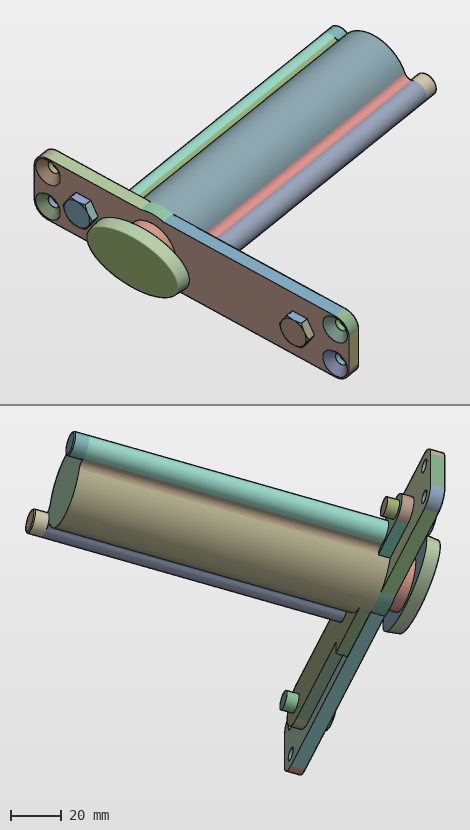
import cadquery as cq
import math


plate_length = 160.0
plate_height = 32.0
plate_thickness = 6.0
plate_corner_radius = 7.0
screw_hole_diameter = 5.5
countersink_diameter = 12.5
countersink_angle = 90.0

body_x = -20.0
body_end_y = 136.7
barrel_radius = 17.0
lug_offset = 22.0
lug_radius = 5.0
lug_fillet_radius = 3.0

pin_diameter = 10.0
pin_projection = 6.3
pin_chamfer = 0.5

backing_thickness = 5.0
backing_rear_y = plate_thickness + backing_thickness
narrow_end_x = -55.25
narrow_end_radius = 6.5
wide_end_x = 54.0
wide_end_radius = 10.0
tab_right_x = 10.7
tab_bottom_z = -16.3

bolt_offset = 55.0
bolt_diameter = 8.0
bolt_projection = 5.0
head_sides = 6
head_across_flats = 13.0
head_height = 4.0
head_chamfer_angle = 30.0

neck_diameter = 24.0
neck_length = 6.2
knob_width = 48.0
knob_height = 28.0
knob_thickness = 6.1
knob_rim = 0.7
knob_inset = 0.7
knob_edge_fillet = 0.4


def facing_rear(y):
    """Work plane at the given Y, with local x = -X, local y = Z and normal +Y."""
    return cq.Workplane("XZ", origin=(0, y, 0)).transformed(rotate=(0, 180, 0))


def cylinder(x, diameter, start_y, end_y):
    """Cylinder along Y between two Y positions, centred at Z = 0."""
    return facing_rear(start_y).center(-x, 0).circle(diameter / 2).extrude(end_y - start_y)


def make_plate():
    plate = (
        cq.Workplane("XZ")
        .rect(plate_length, plate_height)
        .extrude(-plate_thickness)
        .edges("|Y")
        .fillet(plate_corner_radius)
    )
    plate = plate.union(cylinder(body_x, 2 * barrel_radius, 0, plate_thickness))
    hole_spacing_x = plate_length - 2 * plate_corner_radius
    hole_spacing_z = plate_height - 2 * plate_corner_radius
    return (
        plate.faces("<Y")
        .workplane(origin=(0, 0, 0))
        .rect(hole_spacing_x, hole_spacing_z, forConstruction=True)
        .vertices()
        .cskHole(screw_hole_diameter, countersink_diameter, countersink_angle)
    )


def make_body():
    """Barrel and lugs, joined by concave arcs tangent to both."""
    to_barrel = barrel_radius + lug_fillet_radius
    to_lug = lug_radius + lug_fillet_radius
    fillet_x = (to_barrel**2 + lug_offset**2 - to_lug**2) / (2 * lug_offset)
    fillet_z = math.sqrt(to_barrel**2 - fillet_x**2)

    barrel_x = fillet_x * barrel_radius / to_barrel
    barrel_z = fillet_z * barrel_radius / to_barrel
    lug_x = lug_offset + (fillet_x - lug_offset) * lug_radius / to_lug
    lug_z = fillet_z * lug_radius / to_lug
    lug_tip_x = lug_offset + lug_radius

    chord_x = (barrel_x + lug_x) / 2 - fillet_x
    chord_z = (barrel_z + lug_z) / 2 - fillet_z
    reach = lug_fillet_radius / math.hypot(chord_x, chord_z)
    mid_x = fillet_x + chord_x * reach
    mid_z = fillet_z + chord_z * reach

    return (
        facing_rear(plate_thickness)
        .center(-body_x, 0)
        .moveTo(-barrel_x, barrel_z)
        .threePointArc((0, barrel_radius), (barrel_x, barrel_z))
        .threePointArc((mid_x, mid_z), (lug_x, lug_z))
        .threePointArc((lug_tip_x, 0), (lug_x, -lug_z))
        .threePointArc((mid_x, -mid_z), (barrel_x, -barrel_z))
        .threePointArc((0, -barrel_radius), (-barrel_x, -barrel_z))
        .threePointArc((-mid_x, -mid_z), (-lug_x, -lug_z))
        .threePointArc((-lug_tip_x, 0), (-lug_x, lug_z))
        .threePointArc((-mid_x, mid_z), (-barrel_x, barrel_z))
        .close()
        .extrude(body_end_y - plate_thickness)
    )


def make_pin(side):
    pin_x = body_x + side * lug_offset
    pin = cylinder(pin_x, pin_diameter, body_end_y, body_end_y + pin_projection)
    return pin.faces(">Y").chamfer(pin_chamfer)


def backing_block(left_x, right_x, bottom_z, top_z):
    """Rectangular block of the backing plate's thickness, lying behind the front plate."""
    size = (right_x - left_x, backing_thickness, top_z - bottom_z)
    return cq.Workplane("XY", origin=(left_x, plate_thickness, bottom_z)).box(*size, centered=False)


def make_backing():
    narrow_bar = backing_block(narrow_end_x, body_x, -narrow_end_radius, narrow_end_radius)
    narrow_end = cylinder(narrow_end_x, 2 * narrow_end_radius, plate_thickness, backing_rear_y)
    wide_bar = backing_block(body_x, wide_end_x, -wide_end_radius, wide_end_radius)
    wide_end = cylinder(wide_end_x, 2 * wide_end_radius, plate_thickness, backing_rear_y)
    tab = backing_block(body_x, tab_right_x, tab_bottom_z, 0)
    return narrow_bar.union(narrow_end).union(wide_bar).union(wide_end).union(tab)


def make_bolt(x):
    """Hexagon head with chamfered corners in front, and the shank end behind the backing plate."""
    across_corners = head_across_flats / math.cos(math.pi / head_sides)
    head = cq.Workplane("XZ").center(x, 0).polygon(head_sides, across_corners).extrude(head_height)

    face_radius = head_across_flats / 2
    corner_radius = across_corners / 2
    chamfer_depth = (corner_radius - face_radius) * math.tan(math.radians(head_chamfer_angle))
    trim = (
        cq.Workplane("XY", origin=(x, 0, 0))
        .polyline(
            [
                (0, 0),
                (corner_radius, 0),
                (corner_radius, chamfer_depth - head_height),
                (face_radius, -head_height),
                (0, -head_height),
            ]
        )
        .close()
        .revolve(360, (0, 0, 0), (0, 1, 0))
    )
    shank = cylinder(x, bolt_diameter, plate_thickness, backing_rear_y + bolt_projection)
    return head.intersect(trim).union(shank)


def make_knob():
    """Neck carrying an oval knob: a straight rim, then sides tapering to a smaller face."""
    neck = cylinder(body_x, neck_diameter, -neck_length, 0)
    rim = (
        cq.Workplane("XZ", origin=(body_x, -neck_length, 0))
        .ellipse(knob_width / 2, knob_height / 2)
        .extrude(knob_rim)
    )
    taper = (
        cq.Workplane("XZ", origin=(body_x, -neck_length - knob_rim, 0))
        .ellipse(knob_width / 2, knob_height / 2)
        .workplane(offset=knob_thickness - knob_rim)
        .ellipse(knob_width / 2 - knob_inset, knob_height / 2 - knob_inset)
        .loft(ruled=True)
        .faces("<Y")
        .edges()
        .fillet(knob_edge_fillet)
    )
    return neck.union(rim).union(taper)


result = make_plate().union(make_backing()).union(make_body()).union(make_knob())
for side in (-1, 1):
    result = result.union(make_pin(side))
    result = result.union(make_bolt(side * bolt_offset))